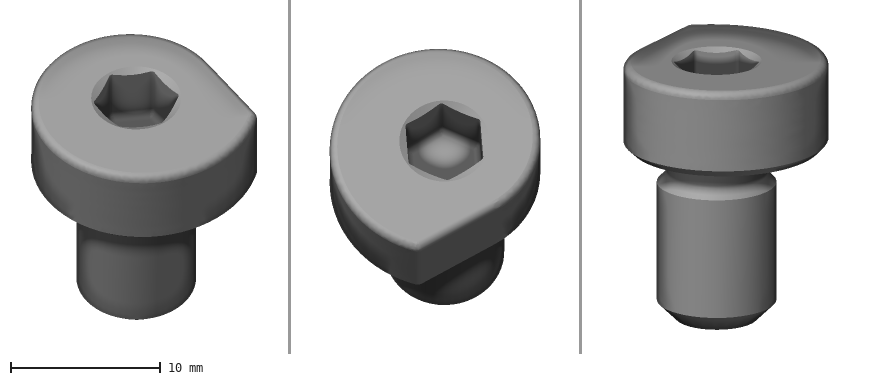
import cadquery as cq
import math

total_height = 18.0
head_height = 6.01
head_bottom = total_height - head_height

cam_start_radius = 6.0
cam_rise_per_turn = 2.52
cam_rise_per_radian = cam_rise_per_turn / (2 * math.pi)
cam_start_angle = math.radians(90)
cam_sweep = math.radians(313.7)
cam_steps = 24
head_edge = 0.5
cam_tip_radius = 0.55

shank_radius = 4.0
tip_radius = 2.75
tip_chamfer = shank_radius - tip_radius
neck_radius = 3.31
neck_flare_height = 1.0
neck_flare_radius = 3.96
shoulder_drop = 2.48
shoulder_height = shank_radius - neck_radius
neck_blend_radius = 0.3

socket_flats = 5.0
socket_corners = socket_flats / math.cos(math.radians(30))
socket_depth = 4.1
socket_floor_fillet = 0.5
socket_corner_radius = 0.29
countersink_radius = 3.0
countersink_angle = math.radians(30)


def cam_point(fraction):
    """Point on the cam spiral, from its low end (0) to its high end (1)."""
    turn = cam_sweep * fraction
    radius = cam_start_radius + cam_rise_per_radian * turn
    angle = cam_start_angle + turn
    return radius * math.cos(angle), radius * math.sin(angle)


def make_head():
    """Cam plate with a rounded tip, a rounded top rim and a chamfered bottom rim."""
    plate = (
        cq.Workplane("XY", origin=(0, 0, head_bottom))
        .spline([cam_point(i / cam_steps) for i in range(cam_steps + 1)])
        .close()
        .extrude(head_height)
    )
    tip_x, tip_y = cam_point(1)
    tip_edge = cq.selectors.NearestToPointSelector((tip_x, tip_y, head_bottom + head_height / 2))
    plate = plate.edges(tip_edge).fillet(cam_tip_radius)
    return plate.faces("<Z").chamfer(head_edge).faces(">Z").edges().fillet(head_edge)


def make_shank():
    """Revolved shank with a chamfered tip and a neck flaring into the head."""
    shoulder_bottom = head_bottom - shoulder_drop
    shoulder_top = shoulder_bottom + shoulder_height
    flare_bottom = head_bottom - neck_flare_height
    flare_width = neck_flare_radius - neck_radius
    flare_arc = (flare_width**2 + neck_flare_height**2) / (2 * flare_width)
    half_turn = math.asin(neck_flare_height / flare_arc) / 2
    flare_middle = (
        neck_radius + flare_arc * (1 - math.cos(half_turn)),
        flare_bottom + flare_arc * math.sin(half_turn),
    )
    blend_turn = math.radians(45)
    blend_length = neck_blend_radius * math.tan(blend_turn / 2)
    blend_top = shoulder_top + blend_length
    blend_leg = blend_length * math.cos(blend_turn)
    blend_middle = (
        neck_radius + neck_blend_radius * (1 - math.cos(blend_turn / 2)),
        blend_top - neck_blend_radius * math.sin(blend_turn / 2),
    )
    return (
        cq.Workplane("XZ")
        .lineTo(tip_radius, 0)
        .lineTo(shank_radius, tip_chamfer)
        .lineTo(shank_radius, shoulder_bottom)
        .lineTo(neck_radius + blend_leg, shoulder_top - blend_leg)
        .threePointArc(blend_middle, (neck_radius, blend_top))
        .lineTo(neck_radius, flare_bottom)
        .threePointArc(flare_middle, (neck_flare_radius, head_bottom))
        .lineTo(0, head_bottom)
        .close()
        .revolve(360, (0, 0, 0), (0, 1, 0))
    )


def make_socket():
    """Hexagon cutter with rounded corners and floor edge, and a conical lead-in."""
    hexagon = (
        cq.Workplane("XY", origin=(0, 0, total_height - socket_depth))
        .polygon(6, socket_corners)
        .extrude(socket_depth)
        .edges("|Z")
        .fillet(socket_corner_radius)
        .faces("<Z")
        .edges()
        .fillet(socket_floor_fillet)
    )
    cone_depth = countersink_radius * math.tan(countersink_angle)
    cone = (
        cq.Workplane("XZ")
        .moveTo(0, total_height)
        .lineTo(countersink_radius, total_height)
        .lineTo(0, total_height - cone_depth)
        .close()
        .revolve(360, (0, 0, 0), (0, 1, 0))
    )
    return hexagon.union(cone)


result = make_head().union(make_shank()).cut(make_socket())